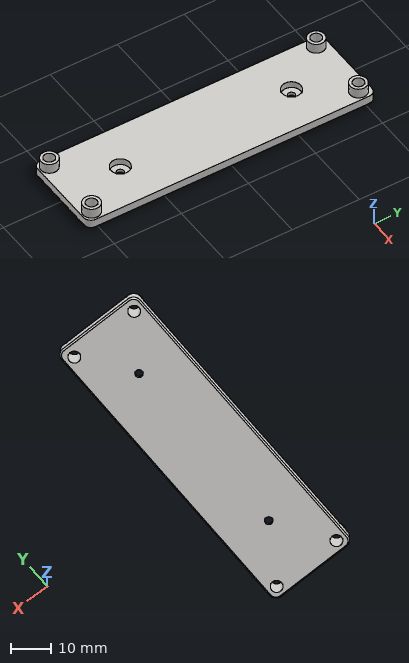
import cadquery as cq

plate_width = 25.35
plate_length = 85.95
plate_thickness = 3.0
corner_radius = 2.15
bottom_chamfer = 0.4

total_height = 6.0
post_diameter = 5.0
post_bore = 3.2
post_spacing_x = 19.3
post_spacing_y = 79.6
post_center_y = -0.3

screw_diameter = 2.1
counterbore_diameter = 5.5
counterbore_depth = 2.0
screw_spacing = 51.05
screw_center_y = 0.35


def make_plate():
    """Plate with rounded corners and a chamfered bottom edge, standing on Z = 0."""
    plate = cq.Workplane("XY").box(
        plate_width, plate_length, plate_thickness, centered=(True, True, False)
    )
    return plate.edges("|Z").fillet(corner_radius).faces("<Z").edges().chamfer(bottom_chamfer)


def post_cylinders(diameter, bottom):
    """Four cylinders at the post positions, from the given height up to the post tops."""
    return (
        cq.Workplane("XY", origin=(0, post_center_y, bottom))
        .rarray(post_spacing_x, post_spacing_y, 2, 2)
        .circle(diameter / 2)
        .extrude(total_height - bottom)
    )


def cut_screw_holes(body):
    """Two through holes, counterbored from the top face of the plate."""
    return (
        body.copyWorkplane(cq.Workplane("XY", origin=(0, screw_center_y, plate_thickness)))
        .rarray(0.9, screw_spacing, 1, 2)
        .cboreHole(screw_diameter, counterbore_diameter, counterbore_depth)
    )


posts = post_cylinders(post_diameter, plate_thickness)
through_bores = post_cylinders(post_bore, 0)
plate_with_posts = make_plate().union(posts).cut(through_bores)
result = cut_screw_holes(plate_with_posts)